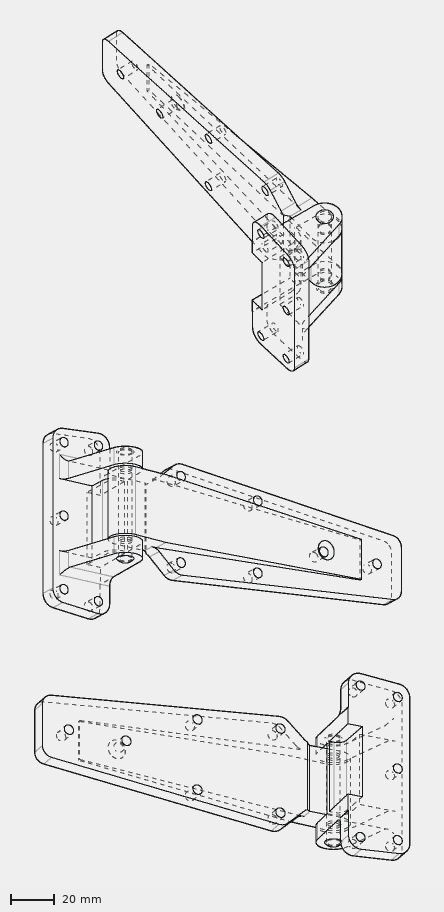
import cadquery as cq
import math


pin_x = 151.9
pin_y = 35.0
pin_radius = 3.1
head_radius = 4.0
head_height = 2.0

base_end_x = 174.0
base_thickness = 8.4
base_top_z = 44.0
base_edge_slope = 0.08
base_corner_radius = 6.0
base_hole_diameter = 4.5
base_holes = [(149.1, 38.0), (149.1, -38.0), (167.9, 35.8), (167.9, -35.8), (167.9, 0)]

ear_radius = 8.0
ear_inner_z = 17.5
ear_outer_z = 26.0
ear_foot_start_x = 142.7
ear_foot_end_x = 170.2
ear_fillet_radius = 3.5
web_top_y = 24.0
web_thickness = 2.6
web_wall_x = 150.0
web_bend_radius = 4.2

plate_front_y = 25.0
plate_thickness = 8.4
plate_back_y = plate_front_y + plate_thickness
tip_half_width = 15.1
tip_corner_radius = 5.0
shoulder_x = 122.3
shoulder_half_width = 27.3
shoulder_radius = 6.0
neck_x = 134.0
neck_half_width = 16.5
neck_bevel = 2.1
plate_end_x = 137.5

rib_start_x = 22.6
rib_start_y = 34.5
rib_start_half_width = 9.7
knuckle_radius = 7.8
neck_front_y = pin_y - knuckle_radius

leaf_hole_diameter = 4.7
countersink_diameter = 9.2
countersink_angle = 90
rib_hole = (42.5, 0)
leaf_holes = [rib_hole, (13.4, 0), (78.5, 17.5), (78.5, -17.5), (120.4, 21.0), (120.4, -21.0)]

selection_margin = 0.2


def tangent_point(x, y, radius, side):
    """Point where a line from (x, y) touches a circle about the pin, on its left (+1) or right (-1)."""
    reach = math.hypot(pin_x - x, pin_y - y)
    away_from_pin = math.atan2(y - pin_y, x - pin_x)
    angle = away_from_pin - side * math.acos(radius / reach)
    return pin_x + radius * math.cos(angle), pin_y + radius * math.sin(angle)


ear_front_top_x, ear_front_top_y = tangent_point(ear_foot_start_x, 0, ear_radius, 1)
ear_back_top_x, ear_back_top_y = tangent_point(ear_foot_end_x, 0, ear_radius, -1)
ear_front_lean = (ear_front_top_x - ear_foot_start_x) / ear_front_top_y
ear_back_lean = (ear_foot_end_x - ear_back_top_x) / ear_back_top_y
base_start_x = ear_foot_start_x + ear_front_lean * base_thickness


def symmetric_prism(upper_points, start_y, end_y):
    """Prism along Y; its (X, Z) outline is the given upper half and that half mirrored about Z = 0."""
    lower_points = [(x, -z) for x, z in reversed(upper_points)]
    outline = cq.Workplane("XZ", origin=(0, start_y, 0)).polyline(upper_points + lower_points).close()
    return outline.extrude(start_y - end_y)


def cylinders_along_y(positions, diameter, start_y, end_y):
    """Cylinders from start_y to end_y at the given (X, Z) positions."""
    sketch = cq.Workplane("XZ", origin=(0, start_y, 0)).pushPoints(positions).circle(diameter / 2)
    return sketch.extrude(start_y - end_y)


def pin_shank():
    """Cylinder about the pin axis, from one outer ear face to the other."""
    return cq.Workplane("XY").center(pin_x, pin_y).circle(pin_radius).extrude(ear_outer_z, both=True)


def dome_midpoint():
    """Point halfway along the dome arc, as (radius, Z)."""
    sphere_radius = (head_radius**2 + head_height**2) / (2 * head_height)
    half_angle = math.asin(head_radius / sphere_radius) / 2
    center_z = ear_outer_z + head_height - sphere_radius
    return sphere_radius * math.sin(half_angle), center_z + sphere_radius * math.cos(half_angle)


def make_pin():
    """Shank flush with the outer ear faces, closed by a domed head at each end."""
    dome = (
        cq.Workplane("XZ")
        .moveTo(0, ear_outer_z)
        .lineTo(head_radius, ear_outer_z)
        .threePointArc(dome_midpoint(), (0, ear_outer_z + head_height))
        .close()
        .revolve(axisStart=(0, 0), axisEnd=(0, 1))
    )
    domes = dome.union(dome.mirror("XY")).translate((pin_x, pin_y, 0))
    return pin_shank().union(domes)


def ear_profile():
    """Side outline of an ear in X and Y: two leaning edges tangent to a round top about the pin."""
    return (
        cq.Workplane("XY")
        .moveTo(ear_foot_start_x, 0)
        .lineTo(ear_front_top_x, ear_front_top_y)
        .threePointArc((pin_x, pin_y + ear_radius), (ear_back_top_x, ear_back_top_y))
        .lineTo(ear_foot_end_x, 0)
        .close()
    )


def make_base():
    """Base plate whose sloping ends reach their greatest Z on the rounded corner next to the leaf."""
    corner_rise = base_corner_radius * (math.hypot(1, base_edge_slope) + base_edge_slope - 1)
    start_z = base_top_z + corner_rise
    end_z = start_z - base_edge_slope * (base_end_x - base_start_x)
    base = symmetric_prism([(base_start_x, start_z), (base_end_x, end_z)], 0, base_thickness)
    return base.edges("|Y").fillet(base_corner_radius)


def make_web():
    """Wall standing on the base between the ears, bent over toward the leaf as a lip."""
    wall_back_x = web_wall_x + web_thickness
    lip_front_y = web_top_y - web_thickness
    web = (
        cq.Workplane("XY")
        .moveTo(web_wall_x, 0)
        .lineTo(web_wall_x, lip_front_y)
        .lineTo(ear_foot_start_x, lip_front_y)
        .lineTo(ear_foot_start_x, web_top_y)
        .lineTo(wall_back_x, web_top_y)
        .lineTo(wall_back_x, 0)
        .close()
        .extrude(ear_inner_z, both=True)
    )
    inner_bend = cq.selectors.NearestToPointSelector((web_wall_x, lip_front_y, 0))
    web = web.edges(inner_bend).fillet(web_bend_radius)
    outer_bend = cq.selectors.NearestToPointSelector((wall_back_x, web_top_y, 0))
    web = web.edges(outer_bend).fillet(web_bend_radius + web_thickness)
    return web.intersect(ear_profile().extrude(ear_inner_z, both=True))


def make_ear_feet():
    """Base plate with the feet of the ears blended into its back face."""
    foot_top_y = base_thickness + 2 * ear_fillet_radius
    foot_back_x = ear_foot_end_x - ear_back_lean * foot_top_y
    foot = (
        cq.Workplane("XY")
        .moveTo(base_start_x, 0)
        .lineTo(base_start_x, foot_top_y)
        .lineTo(foot_back_x, foot_top_y)
        .lineTo(ear_foot_end_x, 0)
        .close()
        .extrude(ear_outer_z, both=True)
    )
    foot_edges = cq.selectors.BoxSelector(
        (base_start_x + selection_margin, base_thickness - selection_margin, -ear_outer_z - selection_margin),
        (base_end_x - selection_margin, base_thickness + selection_margin, ear_outer_z + selection_margin),
    )
    feet = make_base().union(foot).edges(foot_edges).fillet(ear_fillet_radius)

    lean_wedge = (
        cq.Workplane("XY")
        .polyline(
            [
                (base_start_x, base_thickness),
                (base_start_x, foot_top_y),
                (ear_foot_start_x + ear_front_lean * foot_top_y, foot_top_y),
            ]
        )
        .close()
        .extrude(ear_outer_z + ear_fillet_radius, both=True)
    )
    return feet.cut(lean_wedge)


def make_bracket():
    """Base, two pierced ears and the web, as one casting."""
    bracket = make_ear_feet().union(ear_profile().extrude(ear_outer_z, both=True))

    gap_points = [(ear_foot_start_x, ear_inner_z), (base_end_x, ear_inner_z)]
    ear_gap = symmetric_prism(gap_points, base_thickness, pin_y + ear_radius)
    notch_points = [(ear_foot_start_x, ear_inner_z), (web_wall_x, ear_inner_z)]
    base_notch = symmetric_prism(notch_points, 0, base_thickness)
    bracket = bracket.cut(ear_gap).cut(base_notch).union(make_web())

    screw_holes = cylinders_along_y(base_holes, base_hole_diameter, 0, base_thickness)
    return bracket.cut(screw_holes).cut(pin_shank())


def make_leaf_plate():
    """Tapered plate that narrows to the neck, with a bevel from its front face to the front of the neck."""
    plate = symmetric_prism(
        [
            (0, tip_half_width),
            (shoulder_x, shoulder_half_width),
            (neck_x, neck_half_width),
            (plate_end_x, neck_half_width),
        ],
        plate_front_y,
        plate_back_y,
    )
    corners = [(0, tip_corner_radius), (shoulder_x, shoulder_radius), (neck_x, shoulder_radius)]
    for corner_x, radius in corners:
        corner_edges = cq.selectors.BoxSelector(
            (corner_x - selection_margin, plate_front_y, -shoulder_half_width - selection_margin),
            (corner_x + selection_margin, plate_back_y, shoulder_half_width + selection_margin),
        )
        plate = plate.edges("|Y").edges(corner_edges).fillet(radius)

    bevel_end_x = neck_x + neck_bevel
    bevel = (
        cq.Workplane("XY")
        .polyline(
            [
                (neck_x, plate_front_y),
                (bevel_end_x, neck_front_y),
                (pin_x, neck_front_y),
                (pin_x, plate_front_y),
            ]
        )
        .close()
        .extrude(shoulder_half_width, both=True)
    )
    return plate.cut(bevel)


def make_leaf_arm():
    """Rising rib, neck and knuckle, whose side outline wraps round the pin."""
    side = (
        cq.Workplane("XY")
        .moveTo(rib_start_x, plate_back_y)
        .lineTo(rib_start_x, rib_start_y)
        .lineTo(*tangent_point(rib_start_x, rib_start_y, knuckle_radius, 1))
        .threePointArc((pin_x + knuckle_radius, pin_y), (pin_x, neck_front_y))
        .lineTo(neck_x, neck_front_y)
        .lineTo(neck_x, plate_back_y)
        .close()
        .extrude(neck_half_width, both=True)
    )
    plan = symmetric_prism(
        [
            (rib_start_x, rib_start_half_width),
            (neck_x, neck_half_width),
            (pin_x + knuckle_radius, neck_half_width),
        ],
        neck_front_y,
        pin_y + knuckle_radius,
    )
    return side.intersect(plan)


def rib_surface_y(x):
    """Y of the sloping rib surface at x."""
    top_x, top_y = tangent_point(rib_start_x, rib_start_y, knuckle_radius, 1)
    return rib_start_y + (x - rib_start_x) * (top_y - rib_start_y) / (top_x - rib_start_x)


def rib_countersink():
    """Cone that opens the rib hole out to the countersink diameter, with a short straight mouth."""
    x, z = rib_hole
    sink_radius = countersink_diameter / 2
    surface_y = rib_surface_y(x)
    sink_depth = sink_radius / math.tan(math.radians(countersink_angle / 2))
    toward_back = cq.Vector(0, 1, 0)
    cone = cq.Solid.makeCone(0, sink_radius, sink_depth, cq.Vector(x, surface_y - sink_depth, z), toward_back)
    mouth = cq.Solid.makeCylinder(sink_radius, sink_depth, cq.Vector(x, surface_y, z), toward_back)
    return cq.Workplane(obj=cone).union(cq.Workplane(obj=mouth))


def make_leaf():
    """Plate and arm in one piece, with screw holes and the pin bore."""
    leaf = make_leaf_plate().union(make_leaf_arm())
    holes = cylinders_along_y(leaf_holes, leaf_hole_diameter, plate_front_y, pin_y)
    leaf = leaf.cut(holes).cut(rib_countersink())
    return leaf.cut(pin_shank())


pin = make_pin()
bracket = make_bracket()
leaf = make_leaf()
result = cq.Compound.makeCompound([leaf.solids().val(), bracket.solids().val(), pin.solids().val()])